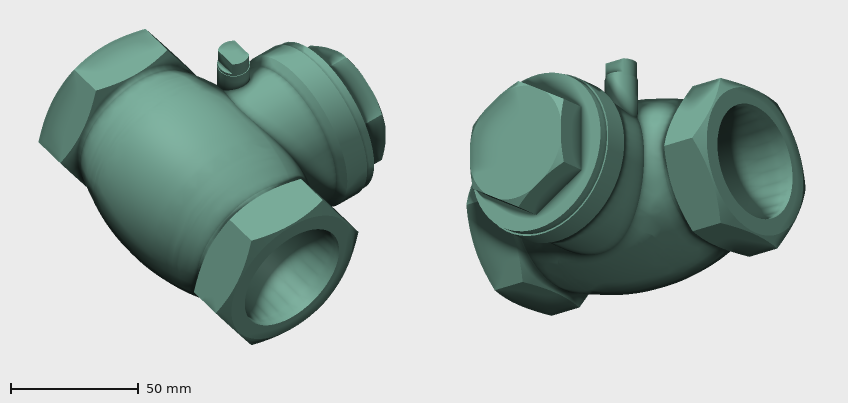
import cadquery as cq
import math

CHAMFER_ANGLE = math.radians(30)
CHAMFER_SLOPE = math.tan(CHAMFER_ANGLE)

BODY_LENGTH = 120.0
BARREL_RADIUS = 37.0
BARREL_HALF_LENGTH = 37.5
COLLAR_RADIUS = 29.4
COLLAR_HALF_LENGTH = 38.4
END_FLATS = 61.0
END_FACE_RADIUS = 29.9

ROOT_RADIUS = 1.9
ROOT_TURN = math.pi / 2 - CHAMFER_ANGLE
ROOT_START_RADIUS = COLLAR_RADIUS + ROOT_RADIUS * (1 - math.cos(ROOT_TURN))
END_LENGTH = BODY_LENGTH / 2 - COLLAR_HALF_LENGTH - ROOT_RADIUS * math.sin(ROOT_TURN)

BORE_MOUTH_RADIUS = 23.3
BORE_INNER_RADIUS = 22.3
BORE_TAPER_DEPTH = 20.8
BORE_DEPTH = 33.6
BORE_CONE_SLOPE_ANGLE = math.radians(30)
BORE_CONE_LENGTH = BORE_INNER_RADIUS * math.tan(BORE_CONE_SLOPE_ANGLE)

NECK_RADIUS = 30.2
NECK_END = 44.8
RIM_RADIUS = 33.1
RIM_START = 48.0
RIM_END = 57.8
CAP_RADIUS = 32.4
CAP_END = 61.8
HEAD_END = 74.8
HEAD_FLATS = 45.8
HEAD_FACE_RADIUS = 23.3

PIN_X = -17.8
PIN_Y = 31.0
BOSS_RADIUS = 6.5
BOSS_TOP = 35.2
PIN_RADIUS = 6.2
PIN_SHOULDER = 36.4
PIN_TOP = 42.0
PIN_FLATS = 8.4


def corner_radius(flats):
    """Circumscribed radius of a hexagon with the given width across flats."""
    return flats / math.sqrt(3)


def revolve_about_x(outline):
    """Close an outline that starts and ends on the X axis and spin it about that axis."""
    return outline.close().revolve(360, (0, 0, 0), (1, 0, 0))


def barrel():
    """Bulged barrel with a short straight collar at each side."""
    outline = (
        cq.Workplane("XY")
        .moveTo(-COLLAR_HALF_LENGTH, 0)
        .lineTo(-COLLAR_HALF_LENGTH, COLLAR_RADIUS)
        .lineTo(-BARREL_HALF_LENGTH, COLLAR_RADIUS)
        .threePointArc((0, BARREL_RADIUS), (BARREL_HALF_LENGTH, COLLAR_RADIUS))
        .lineTo(COLLAR_HALF_LENGTH, COLLAR_RADIUS)
        .lineTo(COLLAR_HALF_LENGTH, 0)
    )
    return revolve_about_x(outline)


def hex_end():
    """Hexagonal end at -X, corners on the Y axis, chamfered on both faces, with its root fillet."""
    outer_face = -BODY_LENGTH / 2
    inner_face = outer_face + END_LENGTH
    corner = corner_radius(END_FLATS)
    outer_chamfer = (corner - END_FACE_RADIUS) * CHAMFER_SLOPE
    inner_chamfer = (corner - ROOT_START_RADIUS) * CHAMFER_SLOPE

    hexagon = (
        cq.Workplane("YZ", origin=(outer_face, 0, 0))
        .polygon(6, 2 * corner)
        .extrude(END_LENGTH)
    )
    envelope = revolve_about_x(
        cq.Workplane("XY")
        .moveTo(outer_face, 0)
        .lineTo(outer_face, END_FACE_RADIUS)
        .lineTo(outer_face + outer_chamfer, corner)
        .lineTo(inner_face - inner_chamfer, corner)
        .lineTo(inner_face, ROOT_START_RADIUS)
        .lineTo(inner_face, 0)
    )
    root = revolve_about_x(
        cq.Workplane("XY")
        .moveTo(inner_face, 0)
        .lineTo(inner_face, ROOT_START_RADIUS)
        .radiusArc((-COLLAR_HALF_LENGTH, COLLAR_RADIUS), -ROOT_RADIUS)
        .lineTo(-COLLAR_HALF_LENGTH, 0)
    )
    return hexagon.intersect(envelope).union(root)


def end_bore():
    """Blind bore entering the -X end, tapered at its mouth, with a conical bottom."""
    mouth = -BODY_LENGTH / 2
    bottom = mouth + BORE_DEPTH
    return revolve_about_x(
        cq.Workplane("XY")
        .moveTo(mouth, 0)
        .lineTo(mouth, BORE_MOUTH_RADIUS)
        .lineTo(mouth + BORE_TAPER_DEPTH, BORE_INNER_RADIUS)
        .lineTo(bottom, BORE_INNER_RADIUS)
        .lineTo(bottom + BORE_CONE_LENGTH, 0)
    )


def bonnet():
    """Neck, flared rim and cap disc, solid down to the body axis."""
    profile = [
        (0, 0),
        (NECK_RADIUS, 0),
        (NECK_RADIUS, NECK_END),
        (RIM_RADIUS, RIM_START),
        (RIM_RADIUS, RIM_END),
        (CAP_RADIUS, RIM_END),
        (CAP_RADIUS, CAP_END),
        (0, CAP_END),
    ]
    return cq.Workplane("XY").polyline(profile).close().revolve(360, (0, 0, 0), (0, 1, 0))


def cap_head():
    """Hexagonal head on the cap, corners up and down, chamfered on its outer face."""
    corner = corner_radius(HEAD_FLATS)
    chamfer = (corner - HEAD_FACE_RADIUS) * CHAMFER_SLOPE
    hexagon = (
        cq.Workplane("XZ")
        .transformed(rotate=(0, 0, 90))
        .polygon(6, 2 * corner)
        .extrude(-HEAD_END)
    )
    profile = [
        (0, 0),
        (corner, 0),
        (corner, HEAD_END - chamfer),
        (HEAD_FACE_RADIUS, HEAD_END),
        (0, HEAD_END),
    ]
    envelope = cq.Workplane("XY").polyline(profile).close().revolve(360, (0, 0, 0), (0, 1, 0))
    return hexagon.intersect(envelope)


def hinge_pin():
    """Round boss carrying a pin whose tip has two flats facing along Y."""
    base = cq.Workplane("XY", origin=(PIN_X, PIN_Y, 0))
    boss = base.circle(BOSS_RADIUS).extrude(BOSS_TOP)
    pin = base.circle(PIN_RADIUS).extrude(PIN_SHOULDER)
    tip = base.circle(PIN_RADIUS).extrude(PIN_TOP)
    flats = base.rect(2 * PIN_RADIUS, PIN_FLATS).extrude(PIN_TOP)
    return boss.union(pin).union(tip.intersect(flats))


left_end = hex_end()
left_bore = end_bore()
result = (
    barrel()
    .union(left_end)
    .union(left_end.mirror("YZ"))
    .union(bonnet())
    .union(cap_head())
    .union(hinge_pin())
    .cut(left_bore)
    .cut(left_bore.mirror("YZ"))
)